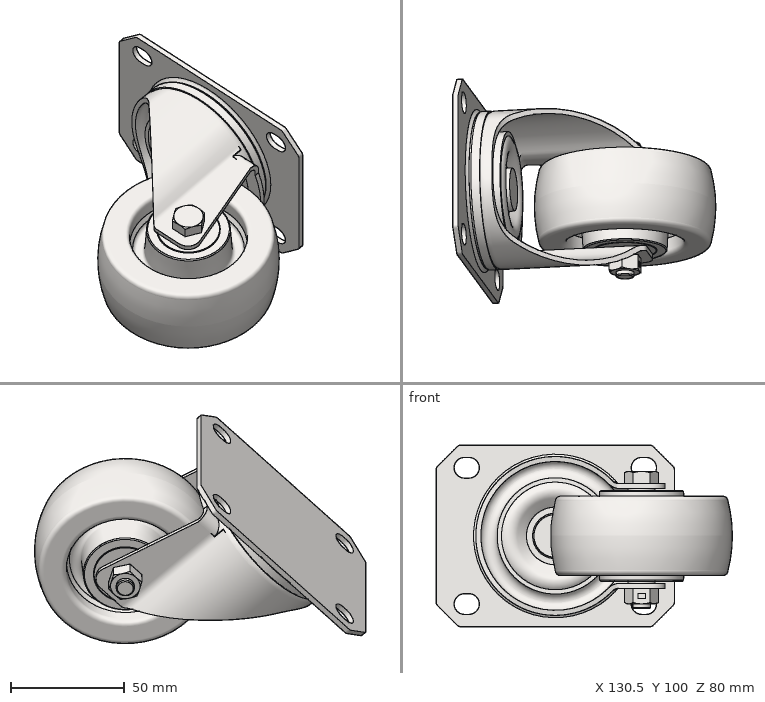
import cadquery as cq
import math


PLATE_LENGTH = 105.0
PLATE_WIDTH = 80.0
PLATE_THICKNESS = 2.5
PLATE_CORNER_CUT = 10.0
PLATE_CORNER_ROUND = 2.0
SLOT_LENGTH = 11.0
SLOT_WIDTH = 9.0
SLOT_SPACING_X = 78.0
SLOT_SPACING_Z = 60.0
COLLAR_BASE_RADIUS = 36.0
COLLAR_STEP_RADIUS = 35.3
COLLAR_STEP_Y = -2.95
COLLAR_TIP_RADIUS = 34.3

RING_RADIUS = 35.0
RING_TOP = -3.9
RING_CHAMFER_RADIAL = 0.5
RING_CHAMFER_AXIAL = 0.9
RING_BOTTOM = -8.75

SHEET = 2.25
FORK_RADIUS = 35.0
FORK_SHOULDER = -11.4
BEAD_CREST_RADIUS = 29.5
CROWN_ROUND = FORK_RADIUS - BEAD_CREST_RADIUS
CROWN_TOP = FORK_SHOULDER + CROWN_ROUND
LIP_OUTER_RADIUS = 25.6
LIP_INNER_RADIUS = 23.7
LIP_BOTTOM = -16.1
LIP_ROOT = -13.1
LEG_OUTER = 23.1
LEG_INNER = LEG_OUTER - SHEET
LEG_BLEND_RADIUS = 5.0
LEG_BEND_RADIUS = 5.4
LEG_BOTTOM = -71.4
LEG_TOP_X = 36.6
LEG_REAR_X = 50.0
LEG_REAR_ROUND = 6.0
LEG_FRONT_ROUND = 3.0
RIM_FRONT_Y = -14.2
RIM_SLOPE_ROUND = 21.0
SLOPE_START_X = -25.4
SLOPE_END_X = 27.8
TAB_RADIUS = 39.85

PIN_RADIUS = 10.0
PIN_END = -17.3
PIN_END_RADIUS = 9.4
FLANGE_CREST = -17.6
FLANGE_CREST_RADIUS = 20.2
DISH_EDGE_RADIUS = 16.3
DISH_EDGE_Y = -16.2
DISH_FLOOR_RADIUS = 12.7
DISH_FLOOR_Y = -13.3

AXLE_X = 38.0
AXLE_Y = -60.0
WHEEL_RADIUS = 40.0
TREAD_HALF_WIDTH = 17.5
TREAD_EDGE_RADIUS = 38.1
TREAD_EDGE_Z = 15.2
FACE_OUTER_RADIUS = 35.6
FACE_INNER_RADIUS = 28.3
RIM_BORE_RADIUS = 25.9
RIM_BORE_Z = 9.4
GROOVE_OUTER_RADIUS = 24.6
GROOVE_INNER_RADIUS = 19.3
GROOVE_EDGE_Z = 7.0
HUB_RADIUS = 18.5
HUB_HALF_LENGTH = 20.0
HUB_CHAMFER = 0.5

BEARING_RADIUS = 14.0
BEARING_WIDTH = 8.0
BEARING_CHAMFER = 0.3
SLEEVE_RADIUS = 6.0
BOLT_RADIUS = 4.0
BOLT_END = -32.0
BOLT_END_CHAMFER = 0.5
HEX_FLATS = 13.0
HEAD_HEIGHT = 5.3
NUT_HEIGHT = 6.8
HEX_CHAMFER_ANGLE = 30.0
NUT_MARK_LENGTH = 3.3
NUT_MARK_WIDTH = 2.2
NUT_MARK_DEPTH = 0.2

OVERSIZE = 100.0


def turned_about_swivel(profile):
    return profile.close().revolve(360, (0, 0, 0), (0, 1, 0))


def turned_about_axle(profile):
    turned = profile.close().revolve(360, (0, 0, 0), (0, 1, 0))
    return turned.translate((AXLE_X, AXLE_Y, 0))


def downward_prism(outline, top, bottom):
    """Extrude an XZ outline along Y between two levels."""
    return outline.extrude(top - bottom).translate((0, top, 0))


def make_plate():
    slab = (
        cq.Workplane("XZ")
        .rect(PLATE_LENGTH, PLATE_WIDTH)
        .extrude(PLATE_THICKNESS)
        .edges("|Y")
        .chamfer(PLATE_CORNER_CUT)
        .edges("|Y")
        .fillet(PLATE_CORNER_ROUND)
    )
    collar = turned_about_swivel(
        cq.Workplane("XY")
        .moveTo(0, -PLATE_THICKNESS)
        .lineTo(COLLAR_BASE_RADIUS, -PLATE_THICKNESS)
        .lineTo(COLLAR_STEP_RADIUS, COLLAR_STEP_Y)
        .lineTo(COLLAR_TIP_RADIUS, RING_TOP)
        .lineTo(0, RING_TOP)
    )
    slots = (
        cq.Workplane("XZ")
        .rarray(SLOT_SPACING_X, SLOT_SPACING_Z, 2, 2)
        .slot2D(SLOT_LENGTH, SLOT_WIDTH)
        .extrude(PLATE_THICKNESS)
    )
    return slab.union(collar).cut(slots)


def crown_point(angle):
    """Point on the rounded edge of the fork crown, at an angle from its outer side."""
    return (
        BEAD_CREST_RADIUS + CROWN_ROUND * math.cos(angle),
        FORK_SHOULDER + CROWN_ROUND * math.sin(angle),
    )


def make_bearing_ring():
    """Ring around the pin, its underside shaped to the rounded fork crown."""
    rise = RING_BOTTOM - FORK_SHOULDER
    seat_angle = math.asin(rise / CROWN_ROUND)
    middle_angle = (seat_angle + math.pi / 2) / 2
    return turned_about_swivel(
        cq.Workplane("XY")
        .moveTo(PIN_RADIUS, RING_TOP)
        .lineTo(RING_RADIUS - RING_CHAMFER_RADIAL, RING_TOP)
        .lineTo(RING_RADIUS, RING_TOP - RING_CHAMFER_AXIAL)
        .lineTo(RING_RADIUS, RING_BOTTOM)
        .lineTo(*crown_point(seat_angle))
        .threePointArc(crown_point(middle_angle), (BEAD_CREST_RADIUS, CROWN_TOP))
        .lineTo(PIN_RADIUS, CROWN_TOP)
    )


def swivel_disc(radius, top, bottom):
    return downward_prism(cq.Workplane("XZ").circle(radius), top, bottom)


def blend_centre(radius, half_width, blend_radius):
    """Centre of the arc that blends the round front into a straight leg."""
    blend_z = half_width + blend_radius
    return math.sqrt((radius + blend_radius) ** 2 - blend_z**2), blend_z


def fork_outline(radius, half_width, blend_radius):
    """Round front, concave blends and two straight parallel legs towards +X."""
    blend_x, blend_z = blend_centre(radius, half_width, blend_radius)
    touch = radius / (radius + blend_radius)
    touch_x = blend_x * touch
    touch_z = blend_z * touch
    middle_angle = (math.atan2(-blend_z, -blend_x) - math.pi / 2) / 2
    middle_x = blend_x + blend_radius * math.cos(middle_angle)
    middle_z = blend_z + blend_radius * math.sin(middle_angle)
    return (
        cq.Workplane("XZ")
        .moveTo(touch_x, -touch_z)
        .threePointArc((-radius, 0), (touch_x, touch_z))
        .threePointArc((middle_x, middle_z), (blend_x, half_width))
        .lineTo(OVERSIZE, half_width)
        .lineTo(OVERSIZE, -half_width)
        .lineTo(blend_x, -half_width)
        .threePointArc((middle_x, -middle_z), (touch_x, -touch_z))
        .close()
    )


def fork_side_limits():
    """Side shape of the fork: sloping front edges and tapered legs, right through in Z."""
    limits = (
        cq.Workplane("XY")
        .moveTo(-OVERSIZE, 0)
        .lineTo(-OVERSIZE, RIM_FRONT_Y)
        .lineTo(SLOPE_START_X, RIM_FRONT_Y)
        .lineTo(SLOPE_END_X, LEG_BOTTOM)
        .lineTo(LEG_REAR_X, LEG_BOTTOM)
        .lineTo(LEG_TOP_X, FORK_SHOULDER - LEG_BEND_RADIUS)
        .lineTo(LEG_TOP_X, 0)
        .close()
        .extrude(OVERSIZE, both=True)
    )

    def round_edge(body, x, y, radius):
        return body.edges(cq.selectors.NearestToPointSelector((x, y, 0))).fillet(radius)

    limits = round_edge(limits, SLOPE_START_X, RIM_FRONT_Y, RIM_SLOPE_ROUND)
    limits = round_edge(limits, SLOPE_END_X, LEG_BOTTOM, LEG_FRONT_ROUND)
    return round_edge(limits, LEG_REAR_X, LEG_BOTTOM, LEG_REAR_ROUND)


def make_bend_waste(side):
    """Square corner removed along one leg (+1 or -1 in Z) where the sheet bends down."""
    blend_z = LEG_OUTER + LEG_BLEND_RADIUS
    legs_start = math.sqrt(FORK_RADIUS**2 - LEG_OUTER**2)
    bend_bottom = FORK_SHOULDER - LEG_BEND_RADIUS
    bend_top_z = LEG_OUTER - LEG_BEND_RADIUS
    arc_reach = LEG_BEND_RADIUS * math.sin(math.pi / 4)
    waste = (
        cq.Workplane("YZ", origin=(legs_start, 0, 0))
        .moveTo(bend_bottom, LEG_OUTER)
        .threePointArc((bend_bottom + arc_reach, bend_top_z + arc_reach), (FORK_SHOULDER, bend_top_z))
        .lineTo(FORK_SHOULDER, blend_z)
        .lineTo(bend_bottom, blend_z)
        .close()
        .extrude(OVERSIZE)
        .cut(swivel_disc(FORK_RADIUS, CROWN_TOP, LEG_BOTTOM))
    )
    return waste if side > 0 else waste.mirror("XY")


def make_fork_shell():
    """Fork with its outer surfaces only: round front, raised crown and bent-down legs."""
    body = downward_prism(
        fork_outline(FORK_RADIUS, LEG_OUTER, LEG_BLEND_RADIUS), FORK_SHOULDER, LEG_BOTTOM
    )
    for side in (1, -1):
        body = body.cut(make_bend_waste(side))
    crown = turned_about_swivel(
        cq.Workplane("XY")
        .moveTo(0, FORK_SHOULDER)
        .lineTo(FORK_RADIUS, FORK_SHOULDER)
        .threePointArc(crown_point(math.pi / 4), (BEAD_CREST_RADIUS, CROWN_TOP))
        .lineTo(0, CROWN_TOP)
    )
    return body.union(crown).intersect(fork_side_limits())


def make_fork_cavity():
    """Space between the legs, with the pressed annular bead under the crown."""
    inner_radius = FORK_RADIUS - SHEET
    ceiling = FORK_SHOULDER - SHEET
    space = downward_prism(
        fork_outline(inner_radius, LEG_INNER, LEG_BLEND_RADIUS + SHEET), ceiling, LEG_BOTTOM
    )
    space = space.faces(">Y").edges("|X").fillet(LEG_BEND_RADIUS - SHEET)
    bead_crest = CROWN_TOP - SHEET
    bead_round = inner_radius - BEAD_CREST_RADIUS
    bead_depth = bead_crest - LIP_ROOT
    bead_root = ceiling - LEG_BEND_RADIUS
    bead = turned_about_swivel(
        cq.Workplane("XY")
        .moveTo(inner_radius, bead_root)
        .lineTo(inner_radius, bead_crest - bead_round)
        .tangentArcPoint((-bead_round, bead_round))
        .tangentArcPoint((LIP_OUTER_RADIUS - BEAD_CREST_RADIUS, -bead_depth))
        .lineTo(LIP_OUTER_RADIUS, bead_root)
    )
    return space.union(bead)


def make_fork():
    tab = swivel_disc(TAB_RADIUS, FORK_SHOULDER, FORK_SHOULDER - SHEET).intersect(
        cq.Workplane("XY").box(
            TAB_RADIUS, OVERSIZE, 2 * (LEG_OUTER - LEG_BEND_RADIUS), centered=(False, True, True)
        )
    )
    lip = swivel_disc(LIP_OUTER_RADIUS, CROWN_TOP, LIP_BOTTOM)
    lip_bore = swivel_disc(LIP_INNER_RADIUS, CROWN_TOP, LIP_BOTTOM)
    bolt_holes = (
        cq.Workplane("XY")
        .center(AXLE_X, AXLE_Y)
        .circle(BOLT_RADIUS)
        .extrude(OVERSIZE, both=True)
    )
    shell = make_fork_shell().union(tab).cut(make_fork_cavity())
    return shell.union(lip).cut(lip_bore).cut(bolt_holes)


def make_kingpin():
    """Pin and the dished flange that carries the fork lip."""
    return turned_about_swivel(
        cq.Workplane("XY")
        .moveTo(0, RING_TOP)
        .lineTo(PIN_RADIUS, RING_TOP)
        .lineTo(PIN_RADIUS, CROWN_TOP)
        .lineTo(LIP_INNER_RADIUS, CROWN_TOP)
        .lineTo(LIP_INNER_RADIUS, LIP_BOTTOM)
        .threePointArc((FLANGE_CREST_RADIUS, FLANGE_CREST), (DISH_EDGE_RADIUS, DISH_EDGE_Y))
        .lineTo(DISH_FLOOR_RADIUS, DISH_FLOOR_Y)
        .lineTo(PIN_RADIUS, DISH_FLOOR_Y)
        .lineTo(PIN_END_RADIUS, PIN_END)
        .lineTo(0, PIN_END)
    )


def make_wheel():
    """Crowned tread, recessed web with an annular groove and a long hub, alike on both sides."""
    groove_round = (GROOVE_OUTER_RADIUS - GROOVE_INNER_RADIUS) / 2
    groove_middle_radius = GROOVE_OUTER_RADIUS - groove_round
    seat_floor = HUB_HALF_LENGTH - BEARING_WIDTH
    bulge_angle = 2 * math.atan2(WHEEL_RADIUS - TREAD_EDGE_RADIUS, TREAD_EDGE_Z)
    crown_radius = TREAD_EDGE_Z / math.sin(bulge_angle)
    crown_middle = (
        WHEEL_RADIUS - crown_radius * (1 - math.cos(bulge_angle / 2)),
        crown_radius * math.sin(bulge_angle / 2),
    )
    edge_middle = (
        FACE_OUTER_RADIUS + (TREAD_EDGE_RADIUS - FACE_OUTER_RADIUS) * math.sin(math.pi / 4),
        TREAD_EDGE_Z + (TREAD_HALF_WIDTH - TREAD_EDGE_Z) * math.sin(math.pi / 4),
    )
    half = turned_about_axle(
        cq.Workplane("XZ")
        .moveTo(SLEEVE_RADIUS, 0)
        .lineTo(WHEEL_RADIUS, 0)
        .threePointArc(crown_middle, (TREAD_EDGE_RADIUS, TREAD_EDGE_Z))
        .threePointArc(edge_middle, (FACE_OUTER_RADIUS, TREAD_HALF_WIDTH))
        .lineTo(FACE_INNER_RADIUS, TREAD_HALF_WIDTH)
        .tangentArcPoint(
            (RIM_BORE_RADIUS, TREAD_HALF_WIDTH - (FACE_INNER_RADIUS - RIM_BORE_RADIUS)),
            relative=False,
        )
        .lineTo(RIM_BORE_RADIUS, RIM_BORE_Z)
        .lineTo(GROOVE_OUTER_RADIUS, GROOVE_EDGE_Z)
        .threePointArc(
            (groove_middle_radius, GROOVE_EDGE_Z - groove_round),
            (GROOVE_INNER_RADIUS, GROOVE_EDGE_Z),
        )
        .lineTo(HUB_RADIUS, HUB_HALF_LENGTH - HUB_CHAMFER)
        .lineTo(HUB_RADIUS - HUB_CHAMFER, HUB_HALF_LENGTH)
        .lineTo(BEARING_RADIUS, HUB_HALF_LENGTH)
        .lineTo(BEARING_RADIUS, seat_floor)
        .lineTo(SLEEVE_RADIUS, seat_floor)
    )
    return half.union(half.mirror("XY"))


def make_bearing(side):
    """Ball bearing, flush with the hub face on the given side (+1 or -1) in Z."""
    inner_z = HUB_HALF_LENGTH - BEARING_WIDTH
    bearing = turned_about_axle(
        cq.Workplane("XZ")
        .moveTo(SLEEVE_RADIUS, inner_z)
        .lineTo(BEARING_RADIUS, inner_z)
        .lineTo(BEARING_RADIUS, HUB_HALF_LENGTH - BEARING_CHAMFER)
        .lineTo(BEARING_RADIUS - BEARING_CHAMFER, HUB_HALF_LENGTH)
        .lineTo(SLEEVE_RADIUS, HUB_HALF_LENGTH)
    )
    return bearing if side > 0 else bearing.mirror("XY")


def make_sleeve():
    sleeve = (
        cq.Workplane("XY")
        .circle(SLEEVE_RADIUS)
        .circle(BOLT_RADIUS)
        .extrude(LEG_INNER, both=True)
    )
    return sleeve.translate((AXLE_X, AXLE_Y, 0))


def hexagon(height):
    """Hexagon standing on z = 0, corners along X, its outer end turned conical."""
    blank = cq.Workplane("XY").polygon(6, HEX_FLATS / math.cos(math.pi / 6)).extrude(height)
    flats_radius = HEX_FLATS / 2
    base_radius = flats_radius + height / math.tan(math.radians(HEX_CHAMFER_ANGLE))
    cone = (
        cq.Workplane("XZ")
        .lineTo(base_radius, 0)
        .lineTo(flats_radius, height)
        .lineTo(0, height)
        .close()
        .revolve(360, (0, 0, 0), (0, 1, 0))
    )
    return blank.intersect(cone)


def make_bolt():
    shank = (
        cq.Workplane("XY", origin=(0, 0, BOLT_END))
        .circle(BOLT_RADIUS)
        .extrude(LEG_OUTER - BOLT_END)
        .faces("<Z")
        .chamfer(BOLT_END_CHAMFER)
    )
    head = hexagon(HEAD_HEIGHT).translate((0, 0, LEG_OUTER))
    return shank.union(head).translate((AXLE_X, AXLE_Y, 0))


def make_nut():
    """Nut under the lower leg, with a shallow rectangular mark on its -Y flat."""
    bored = hexagon(NUT_HEIGHT).cut(cq.Workplane("XY").circle(BOLT_RADIUS).extrude(NUT_HEIGHT))
    mark = cq.Workplane("XY").box(NUT_MARK_LENGTH, 2 * NUT_MARK_DEPTH, NUT_MARK_WIDTH)
    bored = bored.cut(mark.translate((0, -HEX_FLATS / 2, NUT_HEIGHT / 2)))
    return bored.mirror("XY").translate((AXLE_X, AXLE_Y, -LEG_OUTER))


plate = make_plate()
bearing_ring = make_bearing_ring()
fork = make_fork()
kingpin = make_kingpin()
wheel = make_wheel()
bearings = [make_bearing(side) for side in (1, -1)]
sleeve = make_sleeve()
bolt = make_bolt()
nut = make_nut()

result = cq.Compound.makeCompound(
    [
        plate.val(),
        bearing_ring.val(),
        fork.val(),
        kingpin.val(),
        wheel.val(),
        *[bearing.val() for bearing in bearings],
        sleeve.val(),
        bolt.val(),
        nut.val(),
    ]
)